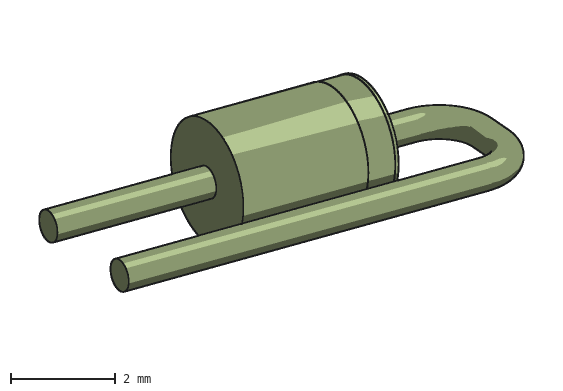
import cadquery as cq

body_diameter = 2.6
band_diameter = 2.58
wire_diameter = 0.66
lead_spacing = 2.54
overall_length = 9.52
bend_radius = 0.97

body_start = 3.59
band_start = 6.42
rim_start = 7.03
body_end = 7.1

bend_start = overall_length - wire_diameter / 2 - bend_radius
bend_top = overall_length - wire_diameter / 2


def cylinder_along_y(diameter, start, end):
    """Solid cylinder on the Y axis between two Y positions."""
    plane = cq.Plane(origin=(0, start, 0), xDir=(1, 0, 0), normal=(0, 1, 0))
    return cq.Workplane(plane).circle(diameter / 2).extrude(end - start)


def make_body():
    """Cylindrical case with a shallow band below a thin end rim."""
    main = cylinder_along_y(body_diameter, body_start, band_start)
    band = cylinder_along_y(band_diameter, band_start, rim_start)
    rim = cylinder_along_y(body_diameter, rim_start, body_end)
    return main.union(band).union(rim)


def make_wire():
    """Axial lead through the body, bent back to run parallel to itself."""
    corner_offset = bend_radius * 0.5**0.5
    far_bend_x = lead_spacing - bend_radius
    path = (
        cq.Workplane("XY")
        .moveTo(0, 0)
        .lineTo(0, bend_start)
        .threePointArc(
            (bend_radius - corner_offset, bend_start + corner_offset),
            (bend_radius, bend_top),
        )
        .lineTo(far_bend_x, bend_top)
        .threePointArc(
            (far_bend_x + corner_offset, bend_start + corner_offset),
            (lead_spacing, bend_start),
        )
        .lineTo(lead_spacing, 0)
    )
    return cq.Workplane("XZ").circle(wire_diameter / 2).sweep(path)


result = make_body().union(make_wire())